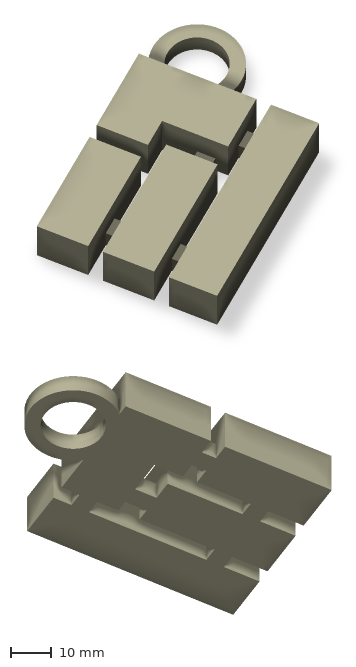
import cadquery as cq

total_width = 49.0
total_length = 78
block_height = 12.0
link_height = 5.0
link_width = 5.0
gap = 4.0

field_length = 58.0
column_width = 13.95
left_length = 30.0
middle_length = 36.0
arm_length = 16.0

middle_x = column_width + gap
middle_end_x = middle_x + column_width
bar_x = middle_end_x + gap
arm_y = field_length - arm_length

ring_radius = 12.0
hole_diameter = 16.0
ring_x = ring_radius
ring_y = total_length - ring_radius

lower_link_y = 10.0
upper_link_y = 47.95
left_link_x = (column_width - link_width) / 2
middle_link_x = 23.5


def box(x_start, x_end, y_start, y_end, height):
    """Box standing on the base plane between the given edges."""
    size = (x_end - x_start, y_end - y_start, height)
    return cq.Workplane("XY").box(*size, centered=False).translate((x_start, y_start, 0))


def link_along_x(x_start, x_end, y_start):
    return box(x_start, x_end, y_start, y_start + link_width, link_height)


def link_along_y(x_start, y_start, y_end):
    return box(x_start, x_start + link_width, y_start, y_end, link_height)


ring = (
    cq.Workplane("XY")
    .center(ring_x, ring_y)
    .circle(ring_radius)
    .circle(hole_diameter / 2)
    .extrude(link_height)
)

blocks = [
    box(0, middle_end_x, arm_y, field_length, block_height),
    box(0, column_width, left_length + gap, field_length, block_height),
    box(0, column_width, 0, left_length, block_height),
    box(middle_x, middle_end_x, 0, middle_length, block_height),
    box(bar_x, total_width, 0, field_length, block_height),
]

links = [
    link_along_x(column_width, middle_x, lower_link_y),
    link_along_x(middle_end_x, bar_x, lower_link_y),
    link_along_x(middle_end_x, bar_x, upper_link_y),
    link_along_y(left_link_x, left_length, left_length + gap),
    link_along_y(middle_link_x, middle_length, arm_y),
]

result = ring
for piece in blocks + links:
    result = result.union(piece)